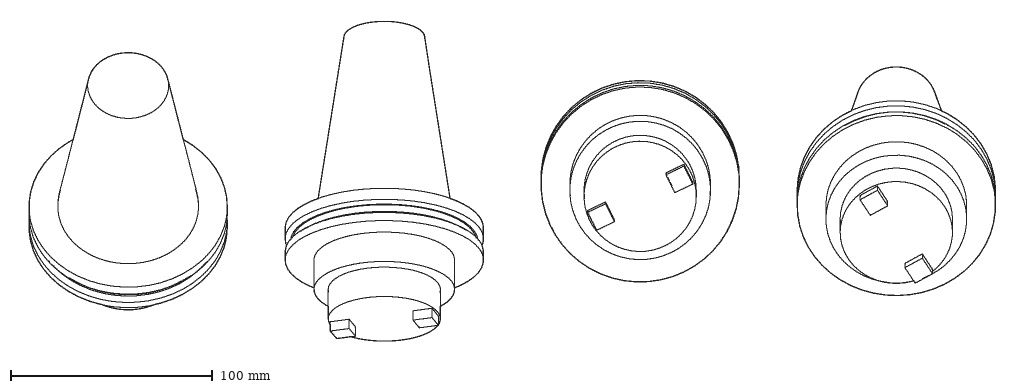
import cadquery as cq

total_height = 157.3
flange_radius = 49.2
groove_radius = 45.8
groove_lip_radius = 46.5
collar_radius = 34.9
spigot_radius = 27.8
taper_height = 101.6
taper_ratio = 7 / 24
key_width = 10.0
key_inner_y = 16.7
key_outer_y = 26.6

spigot_bottom = 5.0
collar_bottom = 20.9
flange_bottom = 36.8
groove_lower_edge = 41.2
groove_floor_bottom = 43.0
groove_floor_top = 46.9
groove_upper_edge = 48.3
flange_top = 54.3
taper_bottom = total_height - taper_height

taper_top_radius = collar_radius - taper_height * taper_ratio / 2


def make_holder_body():
    """Revolve the half section of the spigot, collar, grooved flange and taper about Z."""
    half_section = [
        (0, spigot_bottom),
        (spigot_radius, spigot_bottom),
        (spigot_radius, collar_bottom),
        (collar_radius, collar_bottom),
        (collar_radius, flange_bottom),
        (flange_radius, flange_bottom),
        (flange_radius, groove_lower_edge),
        (groove_lip_radius, groove_floor_bottom),
        (groove_radius, groove_floor_bottom),
        (groove_radius, groove_floor_top),
        (groove_lip_radius, groove_floor_top),
        (flange_radius, groove_upper_edge),
        (flange_radius, flange_top),
        (collar_radius, flange_top),
        (collar_radius, taper_bottom),
        (taper_top_radius, total_height),
        (0, total_height),
    ]
    return cq.Workplane("XZ").polyline(half_section).close().revolve(360, (0, 0), (0, 1))


def make_drive_keys():
    """Two rectangular keys below the spigot, opposite each other along Y."""
    key_length = key_outer_y - key_inner_y
    key_center_y = (key_inner_y + key_outer_y) / 2
    return (
        cq.Workplane("XY")
        .pushPoints([(0, key_center_y), (0, -key_center_y)])
        .rect(key_width, key_length)
        .extrude(spigot_bottom)
    )


result = make_holder_body().union(make_drive_keys())